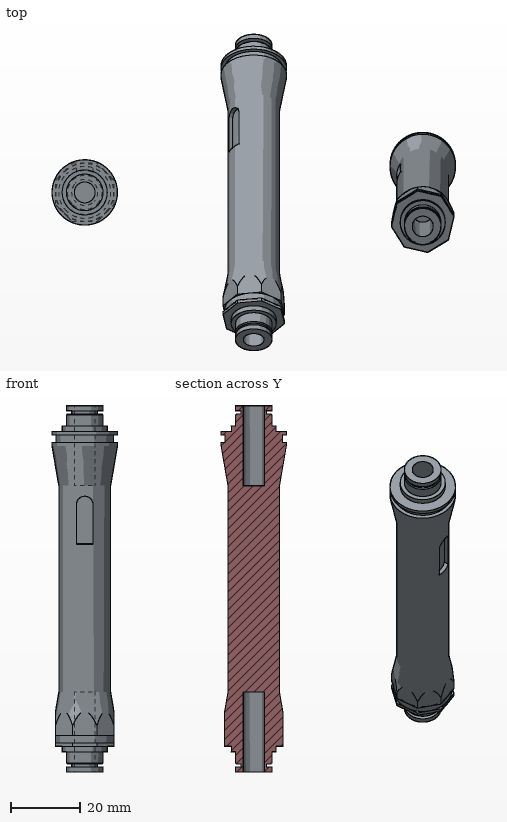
import cadquery as cq
import math

LENGTH = 106.0
LIP_END = 1.5
NECK_END = 2.3
SPIGOT_END = 5.8
COLLAR_END = 7.4
RIM_END = 8.5
GROOVE_END = 10.6
CONE_START = 11.7
CONE_END = 23.1
SPIGOT_CHAMFER = 0.3

SPIGOT_DIA = 10.6
NECK_DIA = 7.5
COLLAR_DIA = 13.0
HEAD_DIA = 19.0
TOP_GROOVE_DIA = 16.7
BODY_DIA = 15.0

BORE_DIA = 6.0
BORE_DEPTH = CONE_END

FLAT_COUNT = 8
ACROSS_FLATS = 17.0
ACROSS_CORNERS = ACROSS_FLATS / math.cos(math.pi / FLAT_COUNT)
BOTTOM_GROOVE_DIA = ACROSS_FLATS

WINDOW_WIDTH = 4.8
WINDOW_BOTTOM = 66.1
WINDOW_TOP = 79.8
WINDOW_FLOOR_DIA = 12.7
SILL_DROP = 0.3


def turned_half(groove_dia):
    """Lower half of the part, turned about Z, with its end face at Z = 0."""
    spigot_r = SPIGOT_DIA / 2
    neck_r = NECK_DIA / 2
    collar_r = COLLAR_DIA / 2
    head_r = HEAD_DIA / 2
    groove_r = groove_dia / 2
    body_r = BODY_DIA / 2
    outline = [
        (0, 0),
        (spigot_r, 0),
        (spigot_r, LIP_END),
        (neck_r, LIP_END),
        (neck_r, NECK_END),
        (spigot_r - SPIGOT_CHAMFER, NECK_END),
        (spigot_r, NECK_END + SPIGOT_CHAMFER),
        (spigot_r, SPIGOT_END),
        (collar_r, SPIGOT_END),
        (collar_r, COLLAR_END),
        (head_r, COLLAR_END),
        (head_r, RIM_END),
        (groove_r, RIM_END),
        (groove_r, GROOVE_END),
        (head_r, GROOVE_END),
        (head_r, CONE_START),
        (body_r, CONE_END),
        (body_r, LENGTH / 2),
        (0, LENGTH / 2),
    ]
    half = cq.Workplane("XZ").polyline(outline).close().revolve(360, (0, 0), (0, 1))
    bore = cq.Workplane("XY").circle(BORE_DIA / 2).extrude(BORE_DEPTH)
    return half.cut(bore)


def wrench_flats(half):
    """Trim a half to an octagonal bar with flats facing X and Y."""
    bar = (
        cq.Workplane("XY")
        .polygon(FLAT_COUNT, ACROSS_CORNERS)
        .extrude(LENGTH / 2)
        .rotate((0, 0, 0), (0, 0, 1), 180 / FLAT_COUNT)
    )
    return half.intersect(bar)


def window_cutter():
    """Arched prism along Y with sloping sills; it spares the round core that forms the floors."""
    half_width = WINDOW_WIDTH / 2
    arch_start = WINDOW_TOP - half_width
    prism = (
        cq.Workplane("XZ")
        .moveTo(-half_width, WINDOW_BOTTOM)
        .lineTo(half_width, WINDOW_BOTTOM)
        .lineTo(half_width, arch_start)
        .threePointArc((0, WINDOW_TOP), (-half_width, arch_start))
        .close()
        .extrude(BODY_DIA, both=True)
    )
    floor_r = WINDOW_FLOOR_DIA / 2
    body_r = BODY_DIA / 2
    sill_slopes = (
        cq.Workplane("YZ")
        .moveTo(0, WINDOW_BOTTOM)
        .lineTo(floor_r, WINDOW_BOTTOM)
        .lineTo(body_r, WINDOW_BOTTOM - SILL_DROP)
        .lineTo(body_r, WINDOW_TOP - WINDOW_WIDTH)
        .lineTo(0, WINDOW_TOP - WINDOW_WIDTH)
        .mirrorY()
        .extrude(half_width, both=True)
    )
    core = cq.Workplane("XY").circle(floor_r).extrude(LENGTH)
    return prism.union(sill_slopes).cut(core)


lower_half = wrench_flats(turned_half(BOTTOM_GROOVE_DIA))
upper_half = turned_half(TOP_GROOVE_DIA).mirror("XY").translate((0, 0, LENGTH))
result = lower_half.union(upper_half).cut(window_cutter())